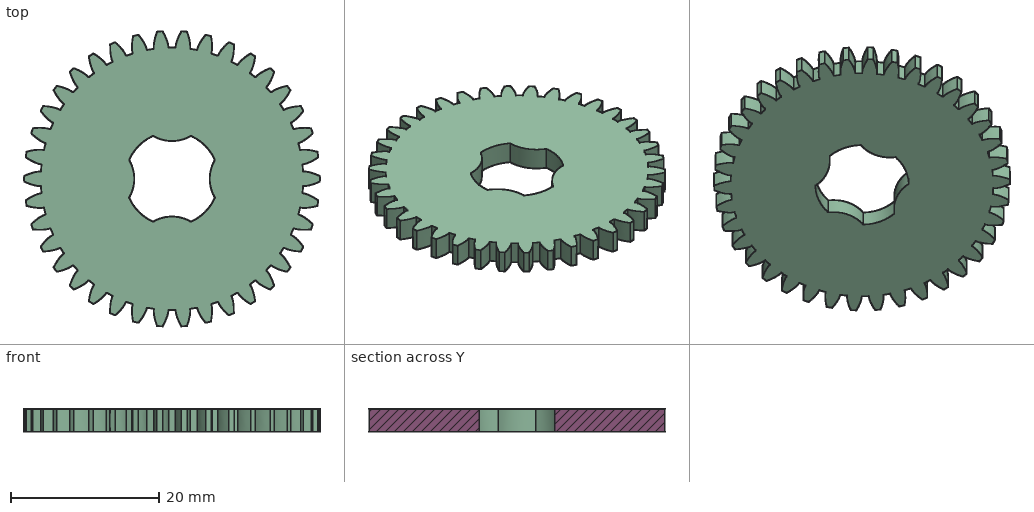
import cadquery as cq
import math

tooth_count = 38
outer_diameter = 40.0
thickness = 3.1
pressure_angle = math.radians(20)
clearance_ratio = 0.25

hole_radius = 6.3
bump_reach = 5.08
bump_radius = 5.0
bump_count = 4

module = outer_diameter / (tooth_count + 2)
tip_radius = outer_diameter / 2
pitch_radius = module * tooth_count / 2
root_radius = pitch_radius - (1 + clearance_ratio) * module
base_radius = pitch_radius * math.cos(pressure_angle)

tooth_pitch = 2 * math.pi / tooth_count
flank_steps = 6


def polar(radius, angle):
    return (radius * math.cos(angle), radius * math.sin(angle))


def involute(angle):
    return math.tan(angle) - angle


def half_tooth_angle(radius):
    """Angle from the tooth centreline to its involute flank at a radius."""
    half_at_base = tooth_pitch / 4 + involute(pressure_angle)
    return half_at_base - involute(math.acos(base_radius / radius))


def make_blank():
    """Toothed disc with one tooth centred on +X."""
    flank_radii = [
        base_radius + (tip_radius - base_radius) * step / flank_steps
        for step in range(flank_steps + 1)
    ]
    half_root = half_tooth_angle(base_radius)
    outline = cq.Workplane("XY").moveTo(*polar(root_radius, -half_root))
    for tooth in range(tooth_count):
        centre = tooth * tooth_pitch
        rising = [polar(r, centre - half_tooth_angle(r)) for r in flank_radii]
        falling = [polar(r, centre + half_tooth_angle(r)) for r in reversed(flank_radii)]
        outline = outline.lineTo(*rising[0]).spline(rising[1:], includeCurrent=True)
        outline = outline.threePointArc(polar(tip_radius, centre), falling[0])
        outline = outline.spline(falling[1:], includeCurrent=True)
        outline = outline.lineTo(*polar(root_radius, centre + half_root))
        outline = outline.threePointArc(
            polar(root_radius, centre + tooth_pitch / 2),
            polar(root_radius, centre + tooth_pitch - half_root),
        )
    return outline.close().extrude(thickness)


def make_opening():
    """Cutter for the central hole, scalloped where the bumps remain."""
    bumps = (
        cq.Workplane("XY")
        .polarArray(bump_reach + bump_radius, 0, 360, bump_count)
        .circle(bump_radius)
        .extrude(thickness)
    )
    return cq.Workplane("XY").circle(hole_radius).extrude(thickness).cut(bumps)


result = make_blank().cut(make_opening())